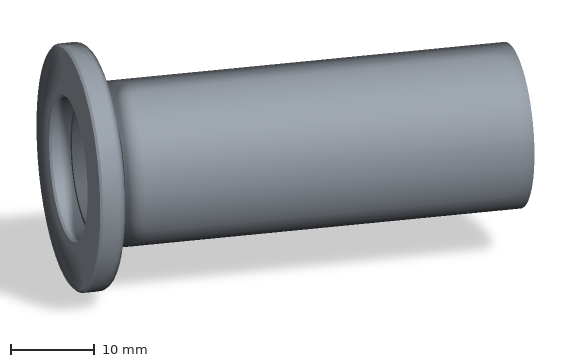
import cadquery as cq
import math

length = 55.0
tube_radius = 20.0 / 2
bore_radius = 16.0 / 2

flange_radius = 30.0 / 2
flange_length = 4.35
back_angle = 15.0
rim_fillet = 1.0
edge_chamfer = 0.3

counterbore_radius = 17.2 / 2
counterbore_depth = 2.6

taper_length = (flange_radius - tube_radius) * math.tan(math.radians(back_angle))
rim_length = flange_length - taper_length

arc_center_radius = flange_radius - rim_fillet
arc_start_y = rim_length - rim_fillet * math.tan(math.radians((90 - back_angle) / 2))


def back_corner_point(angle):
    """Point (radius, Y) on the rounded corner, at an angle in degrees from the radial direction."""
    turn = math.radians(angle)
    return (
        arc_center_radius + rim_fillet * math.cos(turn),
        arc_start_y + rim_fillet * math.sin(turn),
    )


arc_end_angle = 90 - back_angle

section = (
    cq.Workplane("XY")
    .moveTo(counterbore_radius + edge_chamfer, 0)
    .lineTo(flange_radius - edge_chamfer, 0)
    .lineTo(flange_radius, edge_chamfer)
    .lineTo(flange_radius, arc_start_y)
    .threePointArc(back_corner_point(arc_end_angle / 2), back_corner_point(arc_end_angle))
    .lineTo(tube_radius, flange_length)
    .lineTo(tube_radius, length)
    .lineTo(bore_radius, length)
    .lineTo(bore_radius, counterbore_depth)
    .lineTo(counterbore_radius, counterbore_depth)
    .lineTo(counterbore_radius, edge_chamfer)
    .close()
)

result = section.revolve(360, (0, 0, 0), (0, 1, 0))